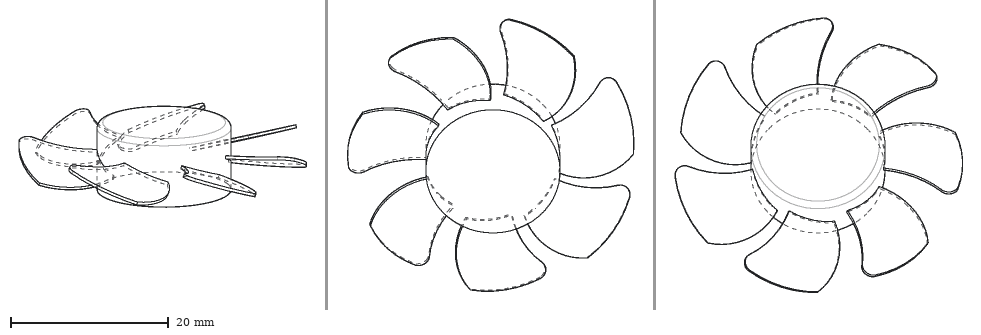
import cadquery as cq

HUB_RADIUS = 8.5
HUB_HEIGHT = 8.8
HUB_RIM_FILLET = 0.73

BLADE_COUNT = 7
BLADE_PITCH = 20.0
BLADE_THICKNESS = 0.4
BLADE_AXIS_HEIGHT = HUB_HEIGHT / 2
TIP_FILLET = 1.25

LEADING_ROOT = (-6.55, 1.7)
LEADING_MIDDLE = (-12.75, 3.0)
TIP_LEADING = (-17.2, 6.65)
TIP_MIDDLE = (-18.35, 1.0)
TIP_TRAILING = (-17.22, -4.78)
TRAILING_MIDDLE = (-12.05, -6.15)
TRAILING_ROOT = (-6.55, -3.45)


def make_hub_drum():
    """Hub cylinder before the rim is rounded, also used to trim the blade roots."""
    return cq.Workplane("XY").circle(HUB_RADIUS).extrude(HUB_HEIGHT)


def make_hub():
    return make_hub_drum().faces(">Z").edges().fillet(HUB_RIM_FILLET)


def make_blade(angle):
    """One blade, turned by angle (degrees, counterclockwise) about the hub axis from the -X direction."""
    plate = (
        cq.Workplane("XY")
        .moveTo(*LEADING_ROOT)
        .threePointArc(LEADING_MIDDLE, TIP_LEADING)
        .threePointArc(TIP_MIDDLE, TIP_TRAILING)
        .threePointArc(TRAILING_MIDDLE, TRAILING_ROOT)
        .close()
        .extrude(BLADE_THICKNESS)
    )
    leading_tip_edge = cq.selectors.NearestToPointSelector((*TIP_LEADING, BLADE_THICKNESS / 2))
    plate = plate.edges("|Z").edges(leading_tip_edge).fillet(TIP_FILLET)

    pitched = plate.rotate((0, 0, 0), (1, 0, 0), BLADE_PITCH)
    raised = pitched.translate((0, 0, BLADE_AXIS_HEIGHT))
    trimmed = raised.cut(make_hub_drum())
    return trimmed.rotate((0, 0, 0), (0, 0, 1), angle)


hub = make_hub()
blades = [make_blade(i * 360 / BLADE_COUNT) for i in range(BLADE_COUNT)]

result = cq.Compound.makeCompound([hub.val(), *[blade.solids().val() for blade in blades]])